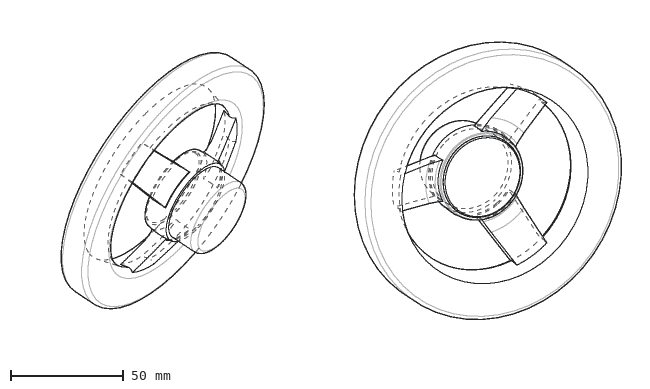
import cadquery as cq


rim_radius = 125 / 2
rim_width = 15.0
rim_edge_round = 2.0
rim_bore_front_radius = 45.4
rim_bore_throat_radius = 42.4
rim_bore_round = 3.6

total_length = 41.5
sleeve_radius = 37.0 / 2
sleeve_start = 26.5
sleeve_end_round = 2.2
boss_face = 13.2
boss_face_radius = 18.2
boss_face_chamfer = 0.6
boss_shoulder = 14.0
boss_radius = 20.2
boss_bulge = 0.5
boss_edge_round = 0.4

spoke_count = 3
spoke_inner_width = 18.9
spoke_inner_radius = 21.2
spoke_outer_width = 16.9
spoke_outer_radius = 42.5
spoke_back_x = 23.9
spoke_slope = 0.44
spoke_front_x = 15.9
bend_end_x = 14.4
bend_inner_radius = 21.9
bend_outer_radius = 27.1
spoke_end_radius = 46.2


def revolve_about_x(profile):
    """Turn a closed profile, drawn as (x, radius), about the X axis."""
    return profile.close().revolve(360, (0, 0, 0), (1, 0, 0))


def make_rim():
    throat_x = rim_width - rim_bore_round
    blank = revolve_about_x(
        cq.Workplane("XY")
        .moveTo(0, rim_bore_front_radius)
        .lineTo(0, rim_radius)
        .lineTo(rim_width, rim_radius)
        .lineTo(rim_width, rim_bore_throat_radius + rim_bore_round)
        .radiusArc((throat_x, rim_bore_throat_radius), rim_bore_round)
    )
    outer_edges = cq.selectors.RadiusNthSelector(-1)
    return blank.edges(outer_edges).fillet(rim_edge_round)


def make_hub():
    boss_start = boss_shoulder + boss_edge_round
    raised_radius = boss_face_radius + boss_face_chamfer
    boss_middle = (boss_start + sleeve_start) / 2
    boss = revolve_about_x(
        cq.Workplane("XY")
        .moveTo(boss_face, 0)
        .lineTo(boss_face, boss_face_radius)
        .lineTo(boss_face + boss_face_chamfer, raised_radius)
        .lineTo(boss_shoulder, raised_radius)
        .lineTo(boss_shoulder, boss_radius - boss_edge_round)
        .radiusArc((boss_start, boss_radius), boss_edge_round)
        .threePointArc((boss_middle, boss_radius + boss_bulge), (sleeve_start, boss_radius))
        .lineTo(sleeve_start, 0)
    )
    sleeve = (
        cq.Workplane("YZ", origin=(sleeve_start, 0, 0))
        .circle(sleeve_radius)
        .extrude(total_length - sleeve_start)
        .faces(">X")
        .edges()
        .fillet(sleeve_end_round)
    )
    return boss.union(sleeve)


def make_web():
    """Dished disc holding the front and back surfaces of all the spokes."""
    front_end_x = bend_end_x - spoke_slope * (spoke_end_radius - bend_outer_radius)
    back_end_x = spoke_back_x - spoke_slope * (spoke_end_radius - spoke_inner_radius)
    return revolve_about_x(
        cq.Workplane("XY")
        .moveTo(spoke_front_x, 0)
        .lineTo(spoke_front_x, bend_inner_radius)
        .lineTo(bend_end_x, bend_outer_radius)
        .lineTo(front_end_x, spoke_end_radius)
        .lineTo(back_end_x, spoke_end_radius)
        .lineTo(spoke_back_x, spoke_inner_radius)
        .lineTo(spoke_back_x, 0)
    )


def make_spoke_outlines():
    """Tapered bars seen along the axis, the first one pointing to +Y."""
    taper = (spoke_inner_width - spoke_outer_width) / (spoke_outer_radius - spoke_inner_radius)
    half_width_at_axis = (spoke_inner_width + taper * spoke_inner_radius) / 2
    half_width_at_end = half_width_at_axis - taper * spoke_end_radius / 2
    bar = (
        cq.Workplane("YZ")
        .polyline([
            (0, -half_width_at_axis),
            (spoke_end_radius, -half_width_at_end),
            (spoke_end_radius, half_width_at_end),
            (0, half_width_at_axis),
        ])
        .close()
        .extrude(total_length)
    )
    bars = bar
    for index in range(1, spoke_count):
        bars = bars.union(bar.rotate((0, 0, 0), (1, 0, 0), index * 360 / spoke_count))
    return bars


spokes = make_web().intersect(make_spoke_outlines())
result = make_rim().union(spokes).union(make_hub())